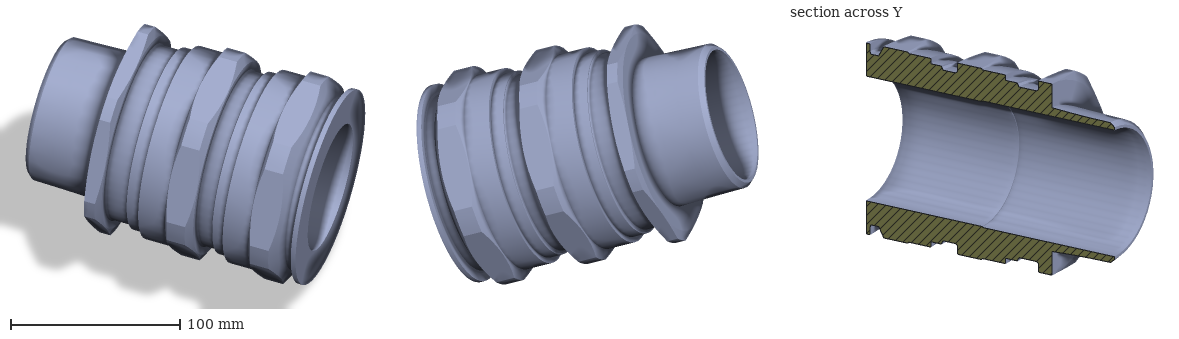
import cadquery as cq
import math

length = 176.4
front_bore_radius = 39.5
rear_bore_radius = 39.0
across_flats = 120.0
flat_radius = across_flats / 2

spigot_end = 44.3
spigot_tip_radius = 44.0
spigot_base_radius = 45.1
tip_chamfer_length = 3.0
tip_face_radius = 41.3

neck_radius = 53.6
root_length = 1.2
root_radius = 54.5
lead_length = 0.9
lead_radius = 55.0
shoulder_radius = 55.9
collar_radius = 59.3

front_nut_start = spigot_end
front_nut_end = 54.3
front_corner_diameter = 131.0
front_corner_radius = front_corner_diameter / 2
front_chamfer_length = 1.2
front_back_chamfer_length = 2.1

middle_nut_start = 93.8
middle_nut_end = 111.8
corner_radius = 64.9
chamfer_slope = math.tan(math.radians(60))
chamfer_length = (corner_radius - collar_radius) / chamfer_slope

rear_nut_start = 146.2
rear_taper_start = 161.0
rear_taper_end = rear_taper_start + (corner_radius - neck_radius) / chamfer_slope

front_shoulder_start = 68.8
front_collar_start = 77.2
rear_shoulder_start = 122.5
rear_collar_start = 130.3

flange_start = 173.4
flange_lead_length = 0.5


def turned(outline):
    """Solid of revolution about X from (x, radius) points, closed along the axis."""
    points = [(outline[0][0], 0)] + outline + [(outline[-1][0], 0)]
    return cq.Workplane("XY").polyline(points).close().revolve(360, (0, 0, 0), (1, 0, 0))


def hexagonal(outline):
    """Turned section cut by a hexagonal bar whose flats face +Z and -Z."""
    corner_diameter = across_flats / math.cos(math.radians(30))
    bar = cq.Workplane("YZ").polygon(6, corner_diameter).extrude(length)
    return turned(outline).intersect(bar)


def spigot():
    return turned([
        (0, tip_face_radius),
        (tip_chamfer_length, spigot_tip_radius),
        (spigot_end, spigot_base_radius),
    ])


def stepped_barrel(start, shoulder_start, collar_start, end):
    """Neck, shoulder and collar joining one nut to the next."""
    return turned([
        (start, root_radius),
        (start + root_length, neck_radius),
        (shoulder_start - lead_length, neck_radius),
        (shoulder_start, lead_radius),
        (shoulder_start, shoulder_radius),
        (collar_start, shoulder_radius),
        (collar_start, collar_radius),
        (end, collar_radius),
    ])


def front_nut():
    """Thin nut whose front face reaches out to the flats."""
    return hexagonal([
        (front_nut_start, flat_radius),
        (front_nut_start + front_chamfer_length, front_corner_radius),
        (front_nut_end - front_back_chamfer_length, front_corner_radius),
        (front_nut_end, collar_radius),
    ])


def middle_nut():
    """Nut chamfered alike on both sides."""
    return hexagonal([
        (middle_nut_start, collar_radius),
        (middle_nut_start + chamfer_length, corner_radius),
        (middle_nut_end - chamfer_length, corner_radius),
        (middle_nut_end, collar_radius),
    ])


def rear_nut():
    """Nut with a long taper running down to the neck."""
    return hexagonal([
        (rear_nut_start, collar_radius),
        (rear_nut_start + chamfer_length, corner_radius),
        (rear_taper_start, corner_radius),
        (rear_taper_end, neck_radius),
    ])


def end_flange():
    return turned([
        (rear_taper_end, neck_radius),
        (flange_start - flange_lead_length, neck_radius),
        (flange_start, lead_radius),
        (flange_start, flat_radius),
        (length, flat_radius),
    ])


def stepped_bore():
    """Through bore that narrows slightly at the middle nut."""
    return turned([
        (0, front_bore_radius),
        (middle_nut_start, front_bore_radius),
        (middle_nut_start, rear_bore_radius),
        (length, rear_bore_radius),
    ])


sections = [
    front_nut(),
    stepped_barrel(front_nut_end, front_shoulder_start, front_collar_start, middle_nut_start),
    middle_nut(),
    stepped_barrel(middle_nut_end, rear_shoulder_start, rear_collar_start, rear_nut_start),
    rear_nut(),
    end_flange(),
]

body = spigot()
for section in sections:
    body = body.union(section)

result = body.cut(stepped_bore())